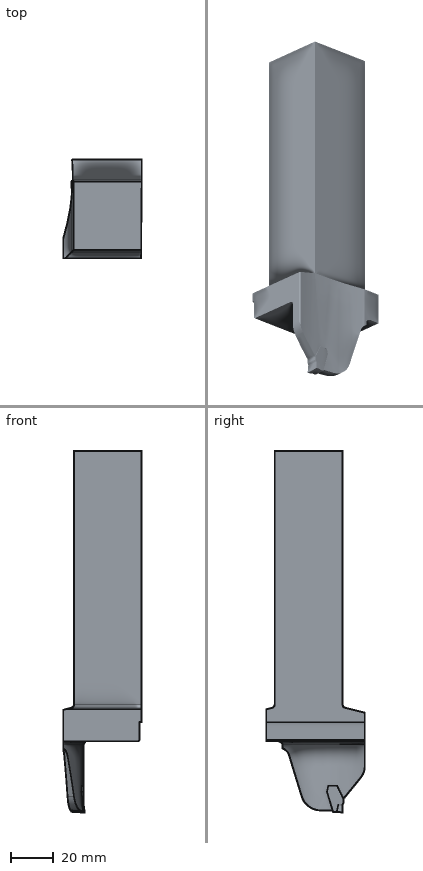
import cadquery as cq
import math


shank_width = 32.0
half_shank = shank_width / 2
total_height = 170.0
shank_fillet = 1.6

head_left = -21.09
head_right = half_shank
head_front = -20.02
head_back = 26.45
head_bottom = 33.6
roof_height = 49.65
roof_slope = math.radians(14)

side_draft = 0.35
back_chamfer = 0.35
relief_top = 42.6
relief_depth = 0.7
relief_chamfer = 0.6

bow_y = 18.6
concave_depth = 4.5
concave_front = -10.9
blade_right = head_left + 9.74
crescent_front = -12.4
blade_bottom = 1.05
root_fillet = 1.5

ledge_z = 30.3
ledge_arc_mid = (-10.4, 29.0)
ledge_arc_end = (-9.2, 26.9)
front_bottom_corner_y = -1.27
front_round = 9.5
back_corner_z = 18.9
back_round = 9.0
nose_point = (16.6, 6.8)
nose_inside = (14.0, blade_bottom)

insert_left = head_left + 4.2
insert_right = blade_right
insert_face_y = half_shank
insert_bottom = 0.3
insert_top = 12.6
insert_outline = [
    (insert_face_y, insert_bottom),
    (insert_face_y, 3.85),
    (16.4, 4.8),
    (16.4, 6.5),
    (13.4, insert_top),
    (9.2, insert_top),
    (8.6, 9.9),
    (11.5, insert_bottom),
]
tip_top = 3.7
tip_left = head_left + 3.9
tip_right = head_left + 10.25
tip_top_depth = 2.1
tip_bottom_depth = 2.8
tip_back_z = 0.45
edge_lead = 0.4


def chord_radius(half_chord, rise):
    """Radius of the arc with the given half chord and rise."""
    return (half_chord ** 2 + rise ** 2) / (2 * rise)


def along_x(outline, x_start, x_end):
    """Prism of a YZ outline between two X places."""
    return outline.extrude(x_end - x_start).translate((x_start, 0, 0))


def upright_cylinder(radius, right_x):
    """Tall cylinder about an upright axis, its +X side touching right_x at bow_y."""
    return cq.Workplane("XY").center(right_x - radius, bow_y).circle(radius).extrude(total_height)


concave_radius = chord_radius(bow_y - concave_front, concave_depth)
convex_radius = chord_radius(bow_y - crescent_front, blade_right - head_left)


def make_shank():
    return (
        cq.Workplane("XY")
        .workplane(offset=head_bottom)
        .rect(shank_width, shank_width)
        .extrude(total_height - head_bottom)
    )


def roof_level(distance):
    """Z of the roof at a distance outside the shank."""
    return roof_height - distance * math.tan(roof_slope)


def make_head():
    side = cq.Workplane("YZ").polyline([
        (head_front, head_bottom),
        (head_front, roof_level(-half_shank - head_front)),
        (-half_shank, roof_height),
        (half_shank, roof_height),
        (head_back, roof_level(head_back - half_shank)),
        (head_back, head_bottom),
    ]).close()
    front = cq.Workplane("XZ", origin=(0, head_back, 0)).polyline([
        (head_left, head_bottom),
        (head_left, roof_level(-half_shank - head_left)),
        (-half_shank, roof_height),
        (head_right, roof_height),
        (head_right, head_bottom),
    ]).close()
    return along_x(side, head_left, head_right).intersect(front.extrude(head_back - head_front))


def make_tapered_plan():
    """Tall prism of the plan outline, with a leaning right side and a chamfered back left corner."""
    concave_rise = (head_back - bow_y) ** 2 / (2 * concave_radius)
    chamfer_right = head_left + concave_depth - concave_rise + back_chamfer
    return cq.Workplane("XY").polyline([
        (head_left, head_front),
        (head_right - side_draft, head_front),
        (head_right, head_back),
        (chamfer_right, head_back),
        (head_left, head_back - (chamfer_right - head_left)),
    ]).close().extrude(total_height)


def make_side_relief():
    """Shallow step cut from the lower right side of the head, chamfered at the bottom edge."""
    relief_x = head_right - side_draft - relief_depth
    return cq.Workplane("XZ", origin=(0, head_back, 0)).polyline([
        (head_right, relief_top),
        (relief_x, relief_top),
        (relief_x, head_bottom + relief_chamfer),
        (relief_x - relief_chamfer, head_bottom),
        (head_right, head_bottom),
    ]).close().extrude(head_back - head_front)


def make_blade():
    outline = (
        cq.Workplane("YZ")
        .moveTo(crescent_front, head_bottom)
        .lineTo(crescent_front, ledge_z)
        .threePointArc(ledge_arc_mid, ledge_arc_end)
        .lineTo(front_bottom_corner_y, blade_bottom)
        .lineTo(*nose_inside)
        .lineTo(*nose_point)
        .lineTo(head_back, back_corner_z)
        .lineTo(head_back, head_bottom)
        .close()
    )
    prism = along_x(outline, head_left, blade_right)
    middle_x = (head_left + blade_right) / 2
    prism = prism.edges(
        cq.selectors.NearestToPointSelector((middle_x, front_bottom_corner_y, blade_bottom))
    ).fillet(front_round)
    prism = prism.edges(
        cq.selectors.NearestToPointSelector((middle_x, head_back, back_corner_z))
    ).fillet(back_round)
    return prism.intersect(upright_cylinder(convex_radius, blade_right))


def make_root_fillet():
    """Concave fillet between the convex side of the blade and the underside of the head."""
    mid = root_fillet * (1 - math.sqrt(0.5))
    ring = (
        cq.Workplane("XZ")
        .moveTo(convex_radius - root_fillet, head_bottom)
        .lineTo(convex_radius + root_fillet, head_bottom)
        .threePointArc(
            (convex_radius + mid, head_bottom - mid), (convex_radius, head_bottom - root_fillet)
        )
        .lineTo(convex_radius - root_fillet, head_bottom - root_fillet)
        .close()
        .revolve(360, (0, 0), (0, 1))
        .translate((blade_right - convex_radius, bow_y, 0))
    )
    under_head = cq.Workplane("XY").box(
        head_right - head_left, head_back - head_front, head_bottom, centered=False
    ).translate((head_left, head_front, 0))
    return ring.intersect(under_head)


def make_tip():
    """Cutting tip, growing wider towards the cutting edge."""
    side = cq.Workplane("YZ").polyline([
        (insert_face_y, 0), (insert_face_y, tip_top),
        (insert_face_y - tip_top_depth, tip_top), (insert_face_y - tip_bottom_depth, tip_back_z),
    ]).close()
    flare = cq.Workplane("XZ", origin=(0, insert_face_y, 0)).polyline([
        (tip_left, 0), (insert_left, tip_top), (insert_right, tip_top), (tip_right, 0),
    ]).close().extrude(tip_bottom_depth)
    return along_x(side, tip_left, tip_right).intersect(flare)


def make_insert_prism(left, right):
    """Insert outline between two X places, for the insert body and for its pocket."""
    return along_x(cq.Workplane("YZ").polyline(insert_outline).close(), left, right)


def make_insert():
    """Insert whose underside rises towards -X along the cutting edge."""
    lead_wedge = cq.Workplane("XZ", origin=(0, head_back, 0)).polyline([
        (tip_left, 0),
        (tip_left, edge_lead),
        (tip_right, 0),
    ]).close().extrude(head_back - head_front)
    return make_insert_prism(insert_left, insert_right).union(make_tip()).cut(lead_wedge)


def make_filleted_head():
    """Head and shank with a concave fillet where the roof meets the shank's front, back and left."""
    margin = 0.1
    outer = half_shank + margin
    shank_foot = cq.selectors.BoxSelector(
        (-outer, -outer, roof_height - margin),
        (half_shank - margin, outer, roof_height + margin),
    )
    return make_head().union(make_shank()).edges(shank_foot).fillet(shank_fillet)


def make_holder():
    holder = make_filleted_head().union(make_blade()).union(make_root_fillet())
    holder = holder.intersect(make_tapered_plan())
    holder = holder.cut(upright_cylinder(concave_radius, head_left + concave_depth))
    return holder.cut(make_side_relief()).cut(make_insert_prism(head_left, head_right))


holder = make_holder()
insert = make_insert()
result = cq.Compound.makeCompound([holder.val(), insert.val()])